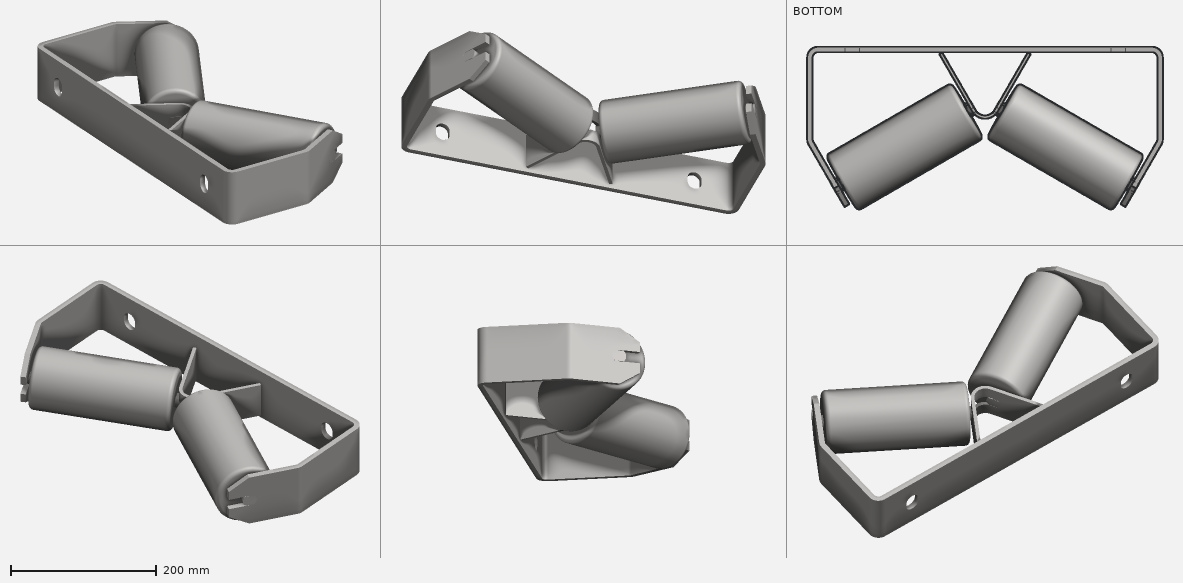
import cadquery as cq
import math

frame_width = 490.0
frame_height = 80.0
frame_sheet = 8.0
frame_bend_radius = 15.0
wall_top_y = 131.5
arm_lean = 30.0
arm_length = 103.5
arm_chamfer_length = 29.5
arm_chamfer_height = 18.0

mount_spacing = 366.0
mount_slot_width = 20.0
mount_slot_height = 27.0

bracket_sheet = 5.0
bracket_bend_radius = 20.0
bracket_apex_y = 119.5
bracket_height = 53.0
bracket_drop = 7.5

barrel_diameter = 88.5
barrel_length = 200.0
barrel_fillet = 6.0
shaft_diameter = 20.0
shaft_flats = 15.0
roller_slope = 2.0
roller_offset = 64.0

shaft_slot_width = 16.0
slot_overcut = 5.0

lean = math.radians(arm_lean)
axis_x, axis_y = math.cos(lean), -math.sin(lean)
arm_x, arm_y = math.sin(lean), math.cos(lean)

arm_outer_face = -frame_width / 2 * axis_x + wall_top_y * axis_y
arm_inner_face = arm_outer_face + frame_sheet
leg_outer_face = bracket_apex_y * axis_y
leg_inner_face = leg_outer_face + bracket_sheet
shaft_length = (leg_inner_face - arm_outer_face) / math.cos(math.radians(roller_slope))
barrel_start = (arm_inner_face + leg_outer_face - barrel_length) / 2 - arm_outer_face


def plan_point(along_axis, along_arm):
    """Plan position from distances along the left roller axis and along the left arm."""
    return (along_axis * axis_x + along_arm * arm_x, along_axis * axis_y + along_arm * arm_y)


def mirrored_loop(left_outer, left_inner):
    """Closed outline from the left halves of the outer and inner surfaces, listed from the end inwards."""
    right_outer = [(-x, y) for x, y in reversed(left_outer) if x != 0]
    right_inner = [(-x, y) for x, y in left_inner if x != 0]
    return left_outer + right_outer + right_inner + list(reversed(left_inner))


def round_bends(strip, left_corners, radius):
    """Round the upright edges of a strip at the given plan corners and at their mirror images."""
    middle_z = strip.val().Center().z
    for x, y in left_corners:
        for corner_x in {x, -x}:
            edge = cq.selectors.NearestToPointSelector((corner_x, y, middle_z))
            strip = strip.edges(edge).fillet(radius)
    return strip


def bent_strip(left_outer, left_inner, bottom_z, height, outer_radius, inner_radius):
    """Upright symmetric strip; every listed corner except the first, its free end, is a rounded bend."""
    outline = cq.Workplane("XY").workplane(offset=bottom_z)
    strip = outline.polyline(mirrored_loop(left_outer, left_inner)).close().extrude(height)
    strip = round_bends(strip, left_outer[1:], outer_radius)
    return round_bends(strip, left_inner[1:], inner_radius)


def roller_plane(distance):
    """Plane square to the left roller axis, at a distance down the axis from the outer face of the arm."""
    slope = math.radians(roller_slope)
    x, y = plan_point(arm_outer_face + distance * math.cos(slope), roller_offset)
    return cq.Plane(
        origin=(x, y, -distance * math.sin(slope)),
        xDir=(-arm_x, -arm_y, 0),
        normal=(axis_x * math.cos(slope), axis_y * math.cos(slope), -math.sin(slope)),
    )


def make_shaft(overhang=0):
    """Round shaft with flats above and below, lengthened at both ends by the overhang."""
    start = roller_plane(-overhang)
    length = shaft_length + 2 * overhang
    round_bar = cq.Workplane(start).circle(shaft_diameter / 2).extrude(length)
    flat_bar = cq.Workplane(start).rect(shaft_diameter, shaft_flats).extrude(length)
    return round_bar.intersect(flat_bar)


def make_roller():
    barrel = cq.Workplane(roller_plane(barrel_start)).circle(barrel_diameter / 2).extrude(barrel_length)
    barrel = barrel.edges("%CIRCLE").fillet(barrel_fillet)
    return barrel.union(make_shaft())


def both_sides(left):
    """A left-hand body and its mirror image on the right."""
    return [left, left.mirror("YZ")]


def cut_both_sides(body, left_cutter):
    for cutter in both_sides(left_cutter):
        body = body.cut(cutter)
    return body


def cut_shaft_slot(body, outer_face, depth, middle_z):
    """Cut slots that run from the shafts along the arm direction, with seats shaped to the shafts."""
    start = outer_face - slot_overcut
    end = outer_face + depth
    corners = [
        plan_point(start, roller_offset),
        plan_point(end, roller_offset),
        plan_point(end, roller_offset + arm_length),
        plan_point(start, roller_offset + arm_length),
    ]
    outline = cq.Workplane("XY").workplane(offset=middle_z - shaft_slot_width / 2)
    slot = outline.polyline(corners).close().extrude(shaft_slot_width)
    body = cut_both_sides(body, slot)
    return cut_both_sides(body, make_shaft(overhang=slot_overcut))


def make_bent_frame():
    half_width = frame_width / 2
    inner_half_width = half_width - frame_sheet
    inner_wall_top_y = wall_top_y - frame_sheet * math.tan(lean / 2)
    tip_x = -half_width + arm_length * arm_x
    tip_y = wall_top_y + arm_length * arm_y
    outer = [(tip_x, tip_y), (-half_width, wall_top_y), (-half_width, 0)]
    inner = [
        (tip_x + frame_sheet * axis_x, tip_y + frame_sheet * axis_y),
        (-inner_half_width, inner_wall_top_y),
        (-inner_half_width, frame_sheet),
    ]
    inner_radius = frame_bend_radius - frame_sheet
    return bent_strip(outer, inner, -frame_height / 2, frame_height, frame_bend_radius, inner_radius)


def chamfer_arm_tips(frame):
    """Cut the upper and lower corners off the tips of both arms."""
    tip_along_arm = -frame_width / 2 * arm_x + wall_top_y * arm_y + arm_length
    tip_x, tip_y = plan_point(arm_outer_face, tip_along_arm)
    tip_plane = cq.Plane(origin=(tip_x, tip_y, 0), xDir=(arm_x, arm_y, 0), normal=(axis_x, axis_y, 0))
    for side in (-1, 1):
        edge = side * frame_height / 2
        chamfer_end = edge - side * arm_chamfer_height
        triangle = [(0, edge), (-arm_chamfer_length, edge), (0, chamfer_end)]
        corner = cq.Workplane(tip_plane).polyline(triangle).close().extrude(frame_sheet)
        frame = cut_both_sides(frame, corner)
    return frame


def cut_mount_slots(frame):
    centres = [(-mount_spacing / 2, 0), (mount_spacing / 2, 0)]
    slots = cq.Workplane("XZ").pushPoints(centres).slot2D(mount_slot_height, mount_slot_width, 90)
    return frame.cut(slots.extrude(-frame_sheet))


def make_frame():
    frame = make_bent_frame()
    frame = chamfer_arm_tips(frame)
    frame = cut_mount_slots(frame)
    return cut_shaft_slot(frame, arm_outer_face, frame_sheet + slot_overcut, 0)


def make_bracket():
    """Bent V whose legs end square, with their inner corners resting on the frame base."""
    foot_along_leg = (frame_sheet - leg_inner_face * axis_y) / arm_y
    inner_apex_y = bracket_apex_y - bracket_sheet / arm_x
    outer = [plan_point(leg_outer_face, foot_along_leg), (0, bracket_apex_y)]
    inner = [plan_point(leg_inner_face, foot_along_leg), (0, inner_apex_y)]
    bottom_z = -bracket_drop - bracket_height / 2
    inner_radius = bracket_bend_radius - bracket_sheet
    bracket = bent_strip(outer, inner, bottom_z, bracket_height, bracket_bend_radius, inner_radius)
    return cut_shaft_slot(bracket, leg_outer_face, bracket_bend_radius, -bracket_drop)


frame = make_frame()
bracket = make_bracket()
rollers = both_sides(make_roller())
roller_solids = [roller.val() for roller in rollers]

result = cq.Compound.makeCompound([frame.val(), bracket.val(), *roller_solids])